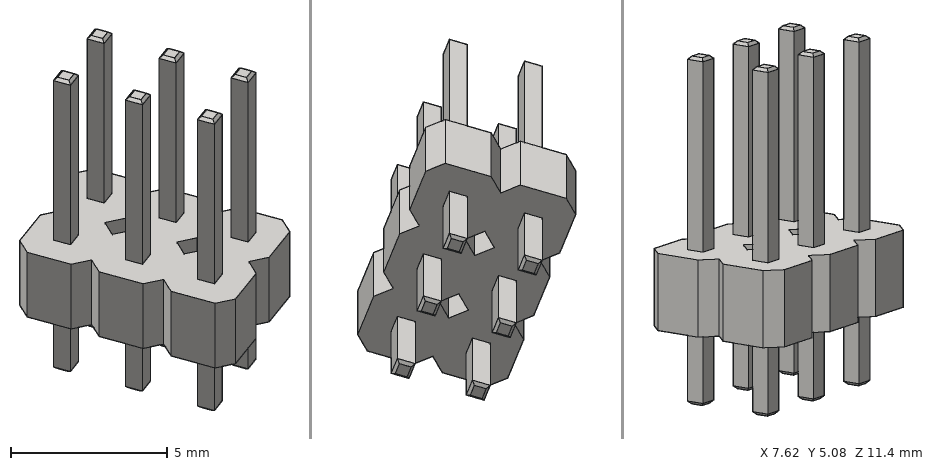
import cadquery as cq

columns = 3
rows = 2
pitch = 2.54

total_height = 11.44
tail_length = 2.54
body_height = 2.54

body_corner = 0.49
pin_width = 0.61
pin_tip_chamfer = 0.1


def make_cell():
    """One square housing cell with its vertical corners cut at 45 degrees."""
    return (
        cq.Workplane("XY")
        .box(pitch, pitch, body_height, centered=(True, True, False))
        .edges("|Z")
        .chamfer(body_corner)
        .translate((0, 0, tail_length))
    )


def make_pin():
    """One square pin with both ends chamfered all round."""
    return (
        cq.Workplane("XY")
        .box(pin_width, pin_width, total_height, centered=(True, True, False))
        .faces("<Z or >Z")
        .edges()
        .chamfer(pin_tip_chamfer)
    )


centers = [
    ((column - (columns - 1) / 2) * pitch, (row - (rows - 1) / 2) * pitch)
    for column in range(columns)
    for row in range(rows)
]

cell = make_cell()
pin = make_pin()

housing = cq.Workplane("XY")
for x, y in centers:
    housing = housing.union(cell.translate((x, y, 0)))
housing = housing.clean()

result = housing
for x, y in centers:
    result = result.union(pin.translate((x, y, 0)))